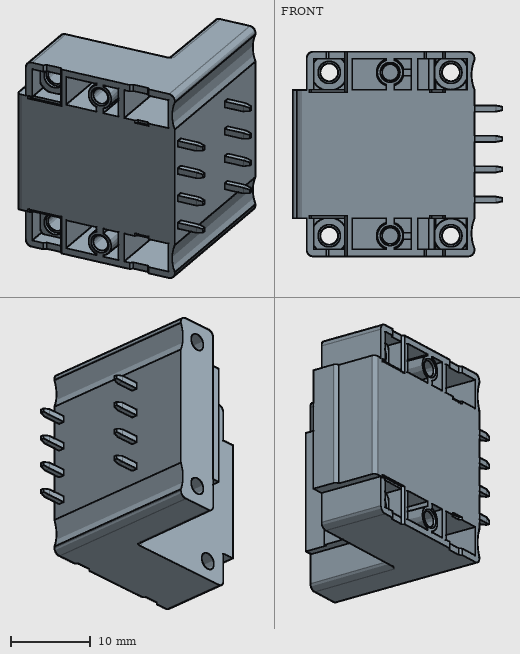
import cadquery as cq

total_length = 26.2
depth = 21.9
height = 25.62
half_height = height / 2

foot_depth = 9.17
body_left = 1.73
body_right = 22.75
arm_left_at_foot = 16.77
arm_left_at_back = 16.9
outer_radius = 0.85
inner_corner_radius = 0.31

end_inner_z = 8.05
hollow_outer_z = 11.82
hollow_depth = 0.37

middle_back = 21.8
foot_step_x = 0.5
foot_step_y = 5.6
middle_front_radius = 0.52
arm_step_y = 18.65
middle_arm_back_x = 15.77
middle_arm_step_x = 15.43
middle_arm_foot_x = 15.33
middle_inner_radius = 1.0

pocket_inner_z = end_inner_z
pocket_outer_z = 11.92
pocket_wall = 1.05
left_pocket = (2.65, 6.5)
post_pocket = (7.41, 14.8)
right_pocket = (15.62, 21.85)
first_ledge_end = 17.03
deep_pocket_start = 17.7
ledge_extra_depth = 0.52
deep_pocket_draft = 0.145
foot_pocket_depth = foot_depth - pocket_wall
arm_pocket_depth = depth - pocket_wall

hole_z = 10.22
hole_radius = 1.1
counterbore_radius = 1.4
counterbore_depth = 0.52
left_hole_x = 4.55
right_hole_x = 19.78
left_seat_radius = 2.28
right_seat_radius = 2.15
left_seat_y = 2.23
right_seat_y = left_seat_y + depth - foot_depth

post_x = 12.18
post_front_radius = 1.6
post_base_radius = 1.7
bore_radius = 1.02
bore_mouth_radius = 1.23
bore_mouth_depth = 0.2
bore_depth = 5.25
upright_rib_width = 0.97
cross_rib_width = 0.8
cross_rib_y = 3.93

notch_depth = 0.31
notch_slope = 0.3
notch_inner_z = 7.7
left_notch = (4.22, 6.79)
left_inner_notch = (2.05, 6.79)
right_notch = (16.43, 19.07)
right_inner_notch = (17.1, 19.07)

pin_width = 0.8
pin_tip_width = 0.47
pin_taper_length = 0.85
pin_pitch = 3.8
pins_per_row = 4
pin_row_ys = (1.23, 13.89)


def block(x_range, y_range, z_range):
    """Box between opposite corners given as (low, high) ranges."""
    lengths = [high - low for low, high in (x_range, y_range, z_range)]
    return cq.Workplane("XY").box(*lengths, centered=False).translate((x_range[0], y_range[0], z_range[0]))


def rod(x, z, radius, y_start, y_end):
    """Cylinder along Y."""
    return cq.Workplane("XZ", origin=(x, y_start, z)).circle(radius).extrude(y_start - y_end)


def frustum(x, z, front_radius, back_radius, y_start, y_end):
    """Tapered round piece along Y."""
    return (
        cq.Workplane("XZ", origin=(x, y_start, z))
        .circle(front_radius)
        .workplane(offset=y_start - y_end)
        .circle(back_radius)
        .loft()
    )


def screw_hole(x, seat_y, back_y):
    """Counterbored through hole that starts at the seat."""
    hole = rod(x, hole_z, hole_radius, seat_y, back_y)
    return hole.union(rod(x, hole_z, counterbore_radius, seat_y, seat_y + counterbore_depth))


def make_body():
    """L-shaped body over the full height, with rounded upper and lower edges."""
    body = (
        cq.Workplane("XY", origin=(0, 0, -half_height))
        .polyline([
            (body_left, 0),
            (body_right, 0),
            (body_right, depth),
            (arm_left_at_back, depth),
            (arm_left_at_foot, foot_depth),
            (body_left, foot_depth),
        ])
        .close()
        .extrude(height)
    )
    arm_left_edges = cq.selectors.BoxSelector(
        (arm_left_at_foot, foot_depth + 0.25, -height),
        (arm_left_at_back, depth - 0.25, height),
    )
    body = body.edges("|Y").add(body.edges(arm_left_edges)).fillet(outer_radius)
    inner_corner = cq.NearestToPointSelector((arm_left_at_foot, foot_depth, 0))
    return body.edges(inner_corner).fillet(inner_corner_radius)


def make_middle_block():
    """Wider block between the end sections, with stepped left faces on foot and arm."""
    middle = (
        cq.Workplane("XY", origin=(0, 0, -end_inner_z))
        .moveTo(foot_step_x, 0)
        .lineTo(body_right, 0)
        .lineTo(body_right, middle_back)
        .lineTo(middle_arm_back_x, middle_back)
        .lineTo(middle_arm_back_x, arm_step_y)
        .lineTo(middle_arm_step_x, arm_step_y)
        .lineTo(middle_arm_foot_x, foot_depth)
        .lineTo(0, foot_depth)
        .lineTo(0, foot_step_y + foot_step_x)
        .radiusArc((foot_step_x, foot_step_y), -foot_step_x)
        .close()
        .extrude(2 * end_inner_z)
    )
    rounded_corners = [
        (foot_step_x, 0, middle_front_radius),
        (middle_arm_foot_x, foot_depth, middle_inner_radius),
    ]
    for x, y, radius in rounded_corners:
        middle = middle.edges(cq.NearestToPointSelector((x, y, 0))).fillet(radius)
    return middle


def make_right_hollow():
    """Shallow arc-shaped hollow along the right face of the upper end section."""
    return (
        cq.Workplane("XZ")
        .moveTo(body_right, end_inner_z)
        .threePointArc(
            (body_right - hollow_depth, (end_inner_z + hollow_outer_z) / 2),
            (body_right, hollow_outer_z),
        )
        .close()
        .extrude(-depth)
    )


def make_left_pocket():
    """Foot pocket with a round screw seat left standing in it."""
    pocket = block(left_pocket, (0, foot_pocket_depth), pocket_z)
    pocket = pocket.cut(rod(left_hole_x, hole_z, left_seat_radius, left_seat_y, foot_depth))
    return pocket.union(screw_hole(left_hole_x, left_seat_y, foot_depth))


def make_right_pocket():
    """Stepped pocket that reaches up the arm to a second screw seat."""
    left, right = right_pocket
    second_ledge_y = foot_pocket_depth + ledge_extra_depth
    pocket = (
        cq.Workplane("XY", origin=(0, 0, pocket_inner_z))
        .polyline([
            (left, 0),
            (right, 0),
            (right - deep_pocket_draft, arm_pocket_depth),
            (deep_pocket_start + deep_pocket_draft, arm_pocket_depth),
            (deep_pocket_start, second_ledge_y),
            (first_ledge_end, second_ledge_y),
            (first_ledge_end, foot_pocket_depth),
            (left, foot_pocket_depth),
        ])
        .close()
        .extrude(pocket_outer_z - pocket_inner_z)
    )
    pocket = pocket.cut(rod(right_hole_x, hole_z, right_seat_radius, right_seat_y, depth))
    return pocket.union(screw_hole(right_hole_x, right_seat_y, depth))


def make_post_pocket():
    """Pocket around a hollow post that is tied to the walls by ribs."""
    full_depth = (0, foot_pocket_depth)
    half_rib = upright_rib_width / 2
    half_cross = cross_rib_width / 2
    pocket = block(post_pocket, full_depth, pocket_z)
    post = frustum(post_x, hole_z, post_front_radius, post_base_radius, 0, foot_pocket_depth)
    upright_rib = block((post_x - half_rib, post_x + half_rib), full_depth, pocket_z)
    cross_rib = block(
        (post_x, post_pocket[1]),
        (cross_rib_y, foot_pocket_depth),
        (hole_z - half_cross, hole_z + half_cross),
    )
    bore = rod(post_x, hole_z, bore_radius, 0, bore_depth)
    bore = bore.union(frustum(post_x, hole_z, bore_mouth_radius, bore_radius, 0, bore_mouth_depth))
    return pocket.cut(post).cut(upright_rib).cut(cross_rib).union(bore)


def make_notch(x_range, z_range):
    """Shallow front notch with sloped ends."""
    left, right = x_range
    return (
        cq.Workplane("XY", origin=(0, 0, z_range[0]))
        .polyline([
            (left, 0),
            (right, 0),
            (right - notch_slope, notch_depth),
            (left + notch_slope, notch_depth),
        ])
        .close()
        .extrude(z_range[1] - z_range[0])
    )


def make_pin(y, z):
    """Square pin with a tapered tip, pointing along +X."""
    shank_length = total_length - body_right - pin_taper_length
    shank = cq.Workplane("YZ", origin=(body_right, y, z)).rect(pin_width, pin_width).extrude(shank_length)
    return (
        shank.faces(">X").workplane()
        .rect(pin_width, pin_width)
        .workplane(offset=pin_taper_length)
        .rect(pin_tip_width, pin_tip_width)
        .loft()
    )


pocket_z = (pocket_inner_z, pocket_outer_z)
outer_rim_z = (pocket_inner_z, half_height)
inner_rim_z = (notch_inner_z, pocket_inner_z)

end_cuts = [
    make_right_hollow(),
    make_left_pocket(),
    make_post_pocket(),
    make_right_pocket(),
    make_notch(left_notch, outer_rim_z),
    make_notch(left_inner_notch, inner_rim_z),
    make_notch(right_notch, outer_rim_z),
    make_notch(right_inner_notch, inner_rim_z),
]

result = make_body().union(make_middle_block())
for end_cut in end_cuts:
    result = result.cut(end_cut).cut(end_cut.mirror("XY"))

for row_y in pin_row_ys:
    for index in range(pins_per_row):
        pin_z = (index - (pins_per_row - 1) / 2) * pin_pitch
        result = result.union(make_pin(row_y, pin_z))